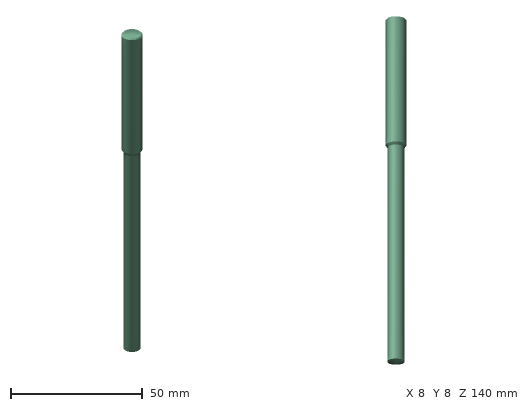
import cadquery as cq
import math

total_length = 140.0

cutter_diameter = 6.6
point_angle = 140.0
cutter_top = 87.0

shank_diameter = 8.0
shank_bottom = 89.0
neck_top = 88.0
top_chamfer = 0.4

cutter_radius = cutter_diameter / 2
shank_radius = shank_diameter / 2
point_height = cutter_radius / math.tan(math.radians(point_angle / 2))


def revolve_profile(points):
    """Revolve a closed (radius, height) outline about the Z axis."""
    return cq.Workplane("XZ").polyline(points).close().revolve(360, (0, 0, 0), (0, 1, 0))


def make_cutter():
    return revolve_profile([
        (0, 0),
        (cutter_radius, point_height),
        (cutter_radius, cutter_top),
        (0, cutter_top),
    ])


def make_shank():
    return revolve_profile([
        (0, cutter_top),
        (cutter_radius, cutter_top),
        (cutter_radius, neck_top),
        (shank_radius, shank_bottom),
        (shank_radius, total_length - top_chamfer),
        (shank_radius - top_chamfer, total_length),
        (0, total_length),
    ])


cutter = make_cutter()
shank = make_shank()

result = cq.Compound.makeCompound([cutter.val(), shank.val()])